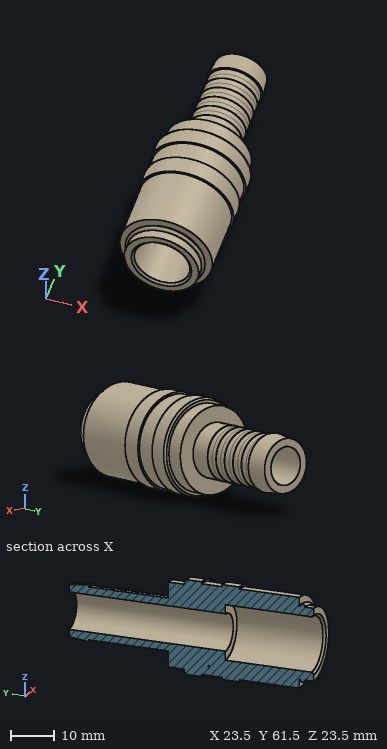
import cadquery as cq

length = 61.5
hose_end_y = length / 2
mouth_y = -length / 2

tail_length = 24.9
stem_radius = 6.6
tip_radius = 6.5
tip_barb_radius = 7.1
tip_barb_length = 5.05
barb_radius = 6.65
barb_pitch = 2.95
barb_count = 5

collar_radius = 10.5
collar_length = 4.0
body_radius = 11.25
band_radius = 11.75
band_chamfer = 0.5
rear_band_length = 4.5
band_gap = 5.0
front_band_length = 4.5

nose_radius = 9.05
nose_length = 3.55
ring_radius = 9.65
ring_section_radius = 0.7

bore_radius = 4.55
socket_radius = 6.75
socket_depth = 22.15
mouth_radius = 7.3
mouth_chamfer = 0.55

collar_y = hose_end_y - tail_length
rear_band_y = collar_y - collar_length
rear_band_end_y = rear_band_y - rear_band_length
front_band_y = rear_band_end_y - band_gap
front_band_end_y = front_band_y - front_band_length
nose_y = mouth_y + nose_length
ring_center_y = nose_y - ring_section_radius


def turned(profile):
    """Revolve a closed (radius, y) profile about the Y axis."""
    return profile.close().revolve(360, (0, 0, 0), (0, 1, 0))


def cylinder(radius, y_low, y_high):
    """Solid cylinder on the Y axis."""
    profile = cq.Workplane("XY").moveTo(0, y_low).lineTo(radius, y_low)
    return turned(profile.lineTo(radius, y_high).lineTo(0, y_high))


def hose_tail():
    """Stem with a conical tip barb and low saw-tooth barbs."""
    y = hose_end_y - tip_barb_length
    profile = cq.Workplane("XY").moveTo(0, hose_end_y).lineTo(tip_radius, hose_end_y)
    profile = profile.lineTo(tip_barb_radius, y).lineTo(stem_radius, y)
    for _ in range(barb_count):
        profile = profile.lineTo(stem_radius, y - barb_pitch / 2)
        y -= barb_pitch
        profile = profile.lineTo(barb_radius, y).lineTo(stem_radius, y)
    return turned(profile.lineTo(stem_radius, collar_y).lineTo(0, collar_y))


def body():
    """Collar, plain barrel and two raised bands, the rear one chamfered toward the hose."""
    rear_band = cylinder(band_radius, rear_band_end_y, rear_band_y).faces(">Y").chamfer(band_chamfer)
    front_band = cylinder(band_radius, front_band_end_y, front_band_y)
    barrel = cylinder(body_radius, nose_y, rear_band_y)
    collar = cylinder(collar_radius, rear_band_y, collar_y)
    return barrel.union(collar).union(rear_band).union(front_band)


def nose():
    """Nose cylinder with a round-section retaining ring against the barrel face."""
    ring_center_radius = ring_radius - ring_section_radius
    section = cq.Workplane("XY").center(ring_center_radius, ring_center_y).circle(ring_section_radius)
    ring = section.revolve(360, (-ring_center_radius, 0, 0), (-ring_center_radius, 1, 0))
    return cylinder(nose_radius, mouth_y, nose_y).union(ring)


def bore():
    """Through bore widening to a socket with a chamfered mouth."""
    socket_end_y = mouth_y + socket_depth
    profile = cq.Workplane("XY").moveTo(0, mouth_y).lineTo(mouth_radius, mouth_y)
    profile = profile.lineTo(socket_radius, mouth_y + mouth_chamfer).lineTo(socket_radius, socket_end_y)
    profile = profile.lineTo(bore_radius, socket_end_y).lineTo(bore_radius, hose_end_y)
    return turned(profile.lineTo(0, hose_end_y))


result = body().union(hose_tail()).union(nose()).cut(bore())